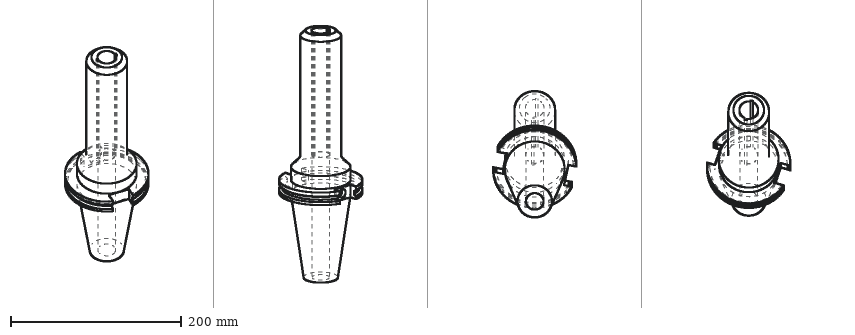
import cadquery as cq
import math

total_length = 304.8

gauge_radius = 35.0
taper_length = 101.5
taper_ratio = 7 / 24
taper_end_radius = gauge_radius - taper_length * taper_ratio / 2

flange_radius = 49.0
flange_bottom = 105.2
flange_top = 120.7
groove_floor_radius = 45.5
groove_bottom = flange_bottom + 3.7
groove_top = flange_top - 5.0
groove_side_rise = 1.8

slot_width = 25.5
slot_floor_left = 37.8
slot_floor_right = 35.5
slot_hole_diameter = 10.0
slot_hole_depth = 6.0

shoulder_top = 136.5
tube_radius = 24.0
tip_chamfer = 6.0
fillet_radius = 10.0
cone_angle = math.radians(45)

tube_bore_radius = 11.0
through_bore_radius = 10.5
keyway_width = 3.0
keyway_reach = 12.5

fillet_center_radius = tube_radius + fillet_radius
fillet_foot_radius = fillet_center_radius - fillet_radius * math.cos(cone_angle)
fillet_foot_z = shoulder_top + (gauge_radius - fillet_foot_radius) / math.tan(cone_angle)
fillet_top_z = fillet_foot_z + fillet_radius * math.sin(cone_angle)
fillet_mid_radius = fillet_center_radius - fillet_radius * math.cos(cone_angle / 2)
fillet_mid_z = fillet_top_z - fillet_radius * math.sin(cone_angle / 2)


def turned_body():
    """Solid of revolution: taper, flange, shoulder and tube."""
    profile = (
        cq.Workplane("XZ")
        .lineTo(taper_end_radius, 0)
        .lineTo(gauge_radius, taper_length)
        .lineTo(gauge_radius, flange_bottom)
        .lineTo(flange_radius, flange_bottom)
        .lineTo(flange_radius, groove_bottom)
        .lineTo(groove_floor_radius, groove_bottom + groove_side_rise)
        .lineTo(groove_floor_radius, groove_top - groove_side_rise)
        .lineTo(flange_radius, groove_top)
        .lineTo(flange_radius, flange_top)
        .lineTo(gauge_radius, flange_top)
        .lineTo(gauge_radius, shoulder_top)
        .lineTo(fillet_foot_radius, fillet_foot_z)
        .threePointArc((fillet_mid_radius, fillet_mid_z), (tube_radius, fillet_top_z))
        .lineTo(tube_radius, total_length - tip_chamfer)
        .lineTo(tube_radius - tip_chamfer, total_length)
        .lineTo(0, total_length)
        .close()
    )
    return profile.revolve(360, (0, 0, 0), (0, 1, 0))


def drive_slot(side, floor):
    """Slot cutter on the -X (side = -1) or +X (side = 1) edge of the flange."""
    depth = flange_radius - floor
    height = flange_top - flange_bottom
    center = (side * (floor + depth / 2), 0, flange_bottom + height / 2)
    return cq.Workplane("XY").box(depth, slot_width, height).translate(center)


def slot_hole():
    """Blind hole in the floor of the -X drive slot."""
    mid_height = (flange_bottom + flange_top) / 2
    return (
        cq.Workplane("YZ", origin=(-slot_floor_left, 0, mid_height))
        .circle(slot_hole_diameter / 2)
        .extrude(slot_hole_depth)
    )


def bore():
    """Through bore, widened along the tube and flanked by two keyways."""
    tube_depth = total_length - fillet_top_z
    through = cq.Workplane("XY").circle(through_bore_radius).extrude(total_length)
    tube_floor = cq.Workplane("XY", origin=(0, 0, fillet_top_z))
    wide = tube_floor.circle(tube_bore_radius).extrude(tube_depth)
    keyways = tube_floor.rect(keyway_width, 2 * keyway_reach).extrude(tube_depth)
    return through.union(wide).union(keyways)


result = (
    turned_body()
    .cut(drive_slot(-1, slot_floor_left))
    .cut(drive_slot(1, slot_floor_right))
    .cut(slot_hole())
    .cut(bore())
)